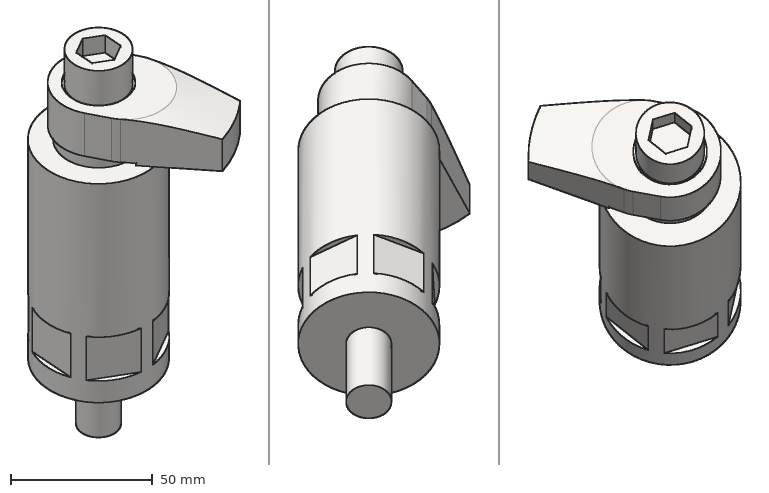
import cadquery as cq
import math


SHANK_DIAMETER = 16.0
HEAD_DIAMETER = 24.1
SHANK_PROJECTION = 30.0
SOCKET_WIDTH = 14.0
SOCKET_DEPTH = 8.0
TOTAL_HEIGHT = 171

HOUSING_DIAMETER = 50.0
HOUSING_HEIGHT = 100.0
NECK_DIAMETER = 32.1
NECK_HEIGHT = 6.3
FLAT_COUNT = 6
FLAT_APOTHEM = 22.9
FLAT_HEIGHT = 20.0
FLAT_BOTTOM = 10.0

BOSS_RADIUS = 18.0
BOSS_LENGTH = 10.0
BOSS_HEIGHT = 19.7
COUNTERBORE_DIAMETER = 26.0
COUNTERBORE_DEPTH = 1.0
HANDLE_REACH = 50.1
HANDLE_OVERHANG = 1.0
SIDE_ANGLE = math.radians(10.4)
SLOPE_ANGLE = math.radians(15)

boss_bottom = HOUSING_HEIGHT + NECK_HEIGHT
lever_top = boss_bottom + BOSS_HEIGHT
head_bottom = lever_top - COUNTERBORE_DEPTH
screw_bottom = -SHANK_PROJECTION
screw_top = screw_bottom + TOTAL_HEIGHT


def cylinder(diameter, bottom, top):
    """Upright cylinder on the screw axis."""
    return cq.Workplane("XY").workplane(offset=bottom).circle(diameter / 2).extrude(top - bottom)


def make_screw():
    """Socket head cap screw running through the whole assembly."""
    shank = cylinder(SHANK_DIAMETER, screw_bottom, head_bottom)
    head = cylinder(HEAD_DIAMETER, head_bottom, screw_top)
    socket = (
        cq.Workplane("XY")
        .workplane(offset=screw_top)
        .transformed(rotate=(0, 0, 90))
        .polygon(6, SOCKET_WIDTH / math.cos(math.pi / 6))
        .extrude(-SOCKET_DEPTH)
    )
    return shank.union(head).cut(socket)


def make_housing():
    """Cylindrical housing with a neck, six wrench flats and a bore for the screw."""
    housing = cylinder(HOUSING_DIAMETER, 0, HOUSING_HEIGHT)
    housing = housing.union(cylinder(NECK_DIAMETER, HOUSING_HEIGHT, boss_bottom))
    flat_cutter = cq.Workplane("XY").box(
        HOUSING_DIAMETER, HOUSING_DIAMETER, FLAT_HEIGHT, centered=(False, True, False)
    ).translate((FLAT_APOTHEM, 0, FLAT_BOTTOM))
    for i in range(FLAT_COUNT):
        housing = housing.cut(flat_cutter.rotate((0, 0, 0), (0, 0, 1), i * 360 / FLAT_COUNT))
    return housing.cut(cylinder(SHANK_DIAMETER, 0, boss_bottom))


def make_handle():
    """Tapered handle, its sides tangent to the outer end of the boss."""
    handle_bottom = boss_bottom - HANDLE_OVERHANG
    tangent_x = BOSS_LENGTH + BOSS_RADIUS * math.sin(SIDE_ANGLE)
    tangent_y = BOSS_RADIUS * math.cos(SIDE_ANGLE)
    end_y = tangent_y - (HANDLE_REACH - tangent_x) * math.tan(SIDE_ANGLE)
    handle = (
        cq.Workplane("XY")
        .workplane(offset=handle_bottom)
        .polyline([
            (tangent_x, -tangent_y),
            (HANDLE_REACH, -end_y),
            (HANDLE_REACH, end_y),
            (tangent_x, tangent_y),
        ])
        .close()
        .extrude(lever_top - handle_bottom)
    )
    handle = handle.intersect(cylinder(2 * HANDLE_REACH, handle_bottom, lever_top))

    cone_radius = BOSS_RADIUS + HANDLE_REACH
    cone_drop = HANDLE_REACH * math.tan(SLOPE_ANGLE)
    cone = (
        cq.Workplane("XZ")
        .polyline([
            (0, handle_bottom - cone_drop),
            (cone_radius, handle_bottom - cone_drop),
            (cone_radius, lever_top - cone_drop),
            (BOSS_RADIUS, lever_top),
            (0, lever_top),
        ])
        .close()
        .revolve(360, (0, 0, 0), (0, 1, 0))
        .translate((BOSS_LENGTH, 0, 0))
    )
    handle = handle.intersect(cone)

    return handle.cut(cylinder(HOUSING_DIAMETER, handle_bottom, boss_bottom))


def make_lever():
    """Oblong boss with a handle, bored and counterbored for the screw."""
    boss = (
        cq.Workplane("XY")
        .workplane(offset=boss_bottom)
        .center(BOSS_LENGTH / 2, 0)
        .slot2D(BOSS_LENGTH + 2 * BOSS_RADIUS, 2 * BOSS_RADIUS)
        .extrude(BOSS_HEIGHT)
    )
    lever = boss.union(make_handle())
    lever = lever.cut(cylinder(SHANK_DIAMETER, boss_bottom, lever_top))
    return lever.cut(cylinder(COUNTERBORE_DIAMETER, head_bottom, lever_top))


screw = make_screw()
housing = make_housing()
lever = make_lever()

result = cq.Compound.makeCompound([
    screw.solids().val(),
    housing.solids().val(),
    lever.solids().val(),
])